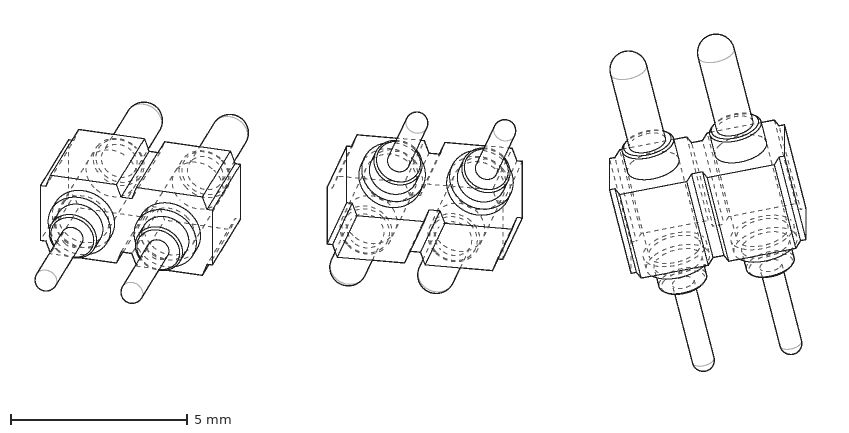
import cadquery as cq
import math

pin_count = 2
pitch = 2.54
housing_height = 2.54
housing_length = 2.81
ledge_width = 0.16
shoulder_inset = 0.3
notch_depth = 0.38

tail_radius = 0.32
front_collar_radius = 0.7
flange_radius = 0.92
barrel_radius = 0.75
contact_radius = 0.53
collar_chamfer = 0.06

overall_length = 10.59
flange_length = 0.41
front_collar_length = 0.7
tail_length = 2.92
rear_collar_length = 0.76

housing_front_y = -housing_length / 2
housing_rear_y = housing_length / 2
flange_front_y = housing_front_y - flange_length
collar_front_y = flange_front_y - front_collar_length
tail_tip_y = collar_front_y - tail_length
barrel_rear_y = housing_rear_y + rear_collar_length
contact_tip_y = tail_tip_y + overall_length

pin_positions = [(i - (pin_count - 1) / 2) * pitch for i in range(pin_count)]


def make_cell(x):
    """One housing cell with its four corners notched, bored for a pin."""
    side = pitch / 2
    top = housing_height / 2
    ledge = top - notch_depth
    quarter = [(side, ledge), (side - ledge_width, ledge), (side - shoulder_inset, top)]
    upper = quarter + [(-px, pz) for px, pz in reversed(quarter)]
    lower = [(-px, -pz) for px, pz in upper]
    outline = [(x + px, pz) for px, pz in upper + lower]
    return (
        cq.Workplane("XZ", origin=(0, housing_rear_y, 0))
        .polyline(outline)
        .close()
        .moveTo(x, 0)
        .circle(barrel_radius)
        .extrude(housing_length)
    )


def make_housing():
    """All cells joined side by side into one block."""
    block = make_cell(pin_positions[0])
    for x in pin_positions[1:]:
        block = block.union(make_cell(x))
    return block.clean().solids()


def make_pin(x):
    """Stepped pin turned about an axis parallel to Y, with a hemisphere at each end."""
    diagonal = math.sqrt(0.5)
    tail_centre_y = tail_tip_y + tail_radius
    contact_centre_y = contact_tip_y - contact_radius
    tail_mid = (tail_radius * diagonal, tail_centre_y - tail_radius * diagonal)
    contact_mid = (contact_radius * diagonal, contact_centre_y + contact_radius * diagonal)
    profile = (
        cq.Workplane("XY")
        .moveTo(0, tail_tip_y)
        .threePointArc(tail_mid, (tail_radius, tail_centre_y))
        .lineTo(tail_radius, collar_front_y)
        .lineTo(front_collar_radius - collar_chamfer, collar_front_y)
        .lineTo(front_collar_radius, collar_front_y + collar_chamfer)
        .lineTo(front_collar_radius, flange_front_y)
        .lineTo(flange_radius, flange_front_y)
        .lineTo(flange_radius, housing_front_y)
        .lineTo(barrel_radius, housing_front_y)
        .lineTo(barrel_radius, barrel_rear_y - collar_chamfer)
        .lineTo(barrel_radius - collar_chamfer, barrel_rear_y)
        .lineTo(contact_radius, barrel_rear_y)
        .lineTo(contact_radius, contact_centre_y)
        .threePointArc(contact_mid, (0, contact_tip_y))
        .close()
    )
    return profile.revolve(360, (0, 0, 0), (0, 1, 0)).translate((x, 0, 0))


housing = make_housing()
pins = [make_pin(x) for x in pin_positions]

result = cq.Compound.makeCompound([housing.val(), *[pin.val() for pin in pins]])